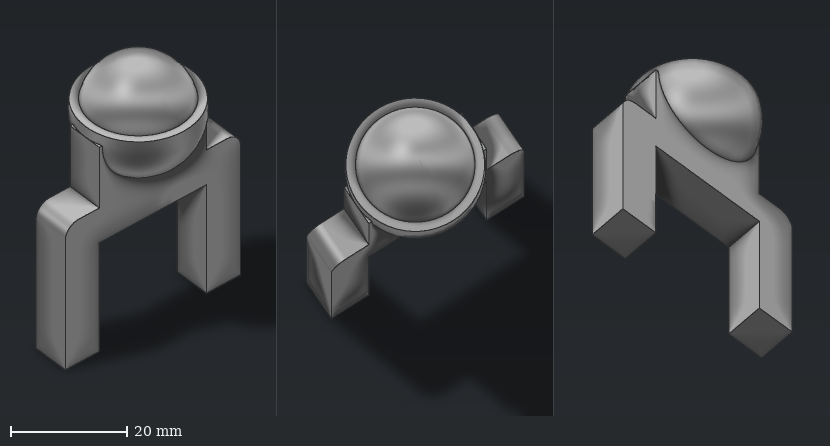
import cadquery as cq

total_height = 55.85
socket_diameter = 24.25
ball_radius = 10.5
rim_height = 47.45

bar_width = 7.75
stand_span = 39.7
leg_gap = 24.25
gap_height = 24.1
shoulder_height = gap_height + bar_width
shoulder_radius = 3.05

centre_height = total_height - ball_radius
socket_radius = socket_diameter / 2


def centred_block(length_y, bottom, top):
    """Block of the stand's thickness, centred on the Z axis."""
    block = cq.Workplane("XY").box(bar_width, length_y, top - bottom, centered=(True, True, False))
    return block.translate((0, 0, bottom))


def ball(radius):
    return cq.Workplane("XY").sphere(radius).translate((0, 0, centre_height))


def make_stand():
    """Two legs under a bridge with rounded shoulders, and a block that carries the socket."""
    bridge = centred_block(stand_span, 0, shoulder_height)
    bridge = bridge.edges("|X and >Z").fillet(shoulder_radius)
    legs = bridge.cut(centred_block(leg_gap, 0, gap_height))
    return legs.union(centred_block(socket_diameter, gap_height, centre_height))


def make_socket():
    """Spherical cup cut flat at the rim."""
    below_rim = cq.Workplane("XY").box(
        socket_diameter, socket_diameter, rim_height, centered=(True, True, False)
    )
    return ball(socket_radius).intersect(below_rim)


result = make_stand().union(make_socket()).union(ball(ball_radius))